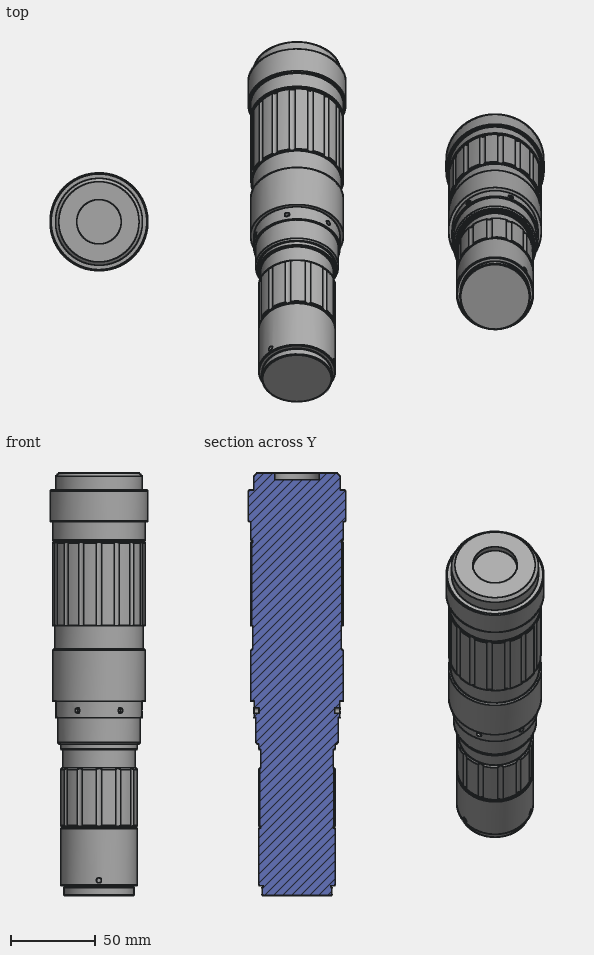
import cadquery as cq
import math

LENGTH = 250.0

CAP_DIA = 51.5
COLLAR_DIA = 58.0
BODY_DIA = 55.0
NECK_DIA = 52.5
SCREW_RING_DIA = 51.0
PLAIN_RING_DIA = 49.0
LOWER_DIA = 45.5
LOWER_NECK_DIA = 43.0
FOOT_DIA = 41.5
FOOT_RELIEF_DIA = 40.0

CAP_BOTTOM = LENGTH - 10.0
COLLAR_BOTTOM = LENGTH - 29.0
SLEEVE_BOTTOM = LENGTH - 40.0
GRIP_TOP = LENGTH - 41.0
GRIP_BOTTOM = LENGTH - 90.5
BODY_TOP = LENGTH - 104.0
BODY_BOTTOM = LENGTH - 135.0
SCREW_RING_BOTTOM = LENGTH - 144.7
PLAIN_RING_BOTTOM = LENGTH - 160.4
LIP_BOTTOM = LENGTH - 163.6
SMALL_GRIP_TOP = LENGTH - 174.5
SMALL_GRIP_BOTTOM = LENGTH - 209.0
LOWER_BODY_TOP = LENGTH - 210.0
LOWER_BODY_BOTTOM = LENGTH - 244.2
FOOT_TOP = LENGTH - 244.8

CAP_EDGE = 2.0
EDGE = 0.5
BODY_TOP_EDGE = 1.0
PLAIN_RING_EDGE = 1.0
COLLAR_EDGE = 0.7
SMALL_GRIP_TOP_EDGE = 1.0

BORE_DIA = 26.29
BORE_DEPTH = 4.0

FLUTE_DIA = 5.0
FLUTE_WIDTH = 3.4
GRIP_FLUTES = 16
SMALL_GRIP_FLUTES = 12

SCREW_DIA = 3.0
SCREW_DEPTH = 3.0
RING_SCREWS = 6
RING_SCREW_Z = LENGTH - 140.5
LOWER_SCREWS = 3
LOWER_SCREW_Z = 9.0
LOWER_SCREW_START = 30.0


def section(diameter, bottom, top, bottom_edge=0.0, top_edge=0.0):
    """Coaxial cylinder from bottom to top with optional 45 degree edge chamfers."""
    part = cq.Workplane("XY").workplane(offset=bottom).circle(diameter / 2).extrude(top - bottom)
    if bottom_edge:
        part = part.faces("<Z").chamfer(bottom_edge)
    if top_edge:
        part = part.faces(">Z").chamfer(top_edge)
    return part


def cap():
    """Top cap with a chamfered rim and a blind bore."""
    part = section(CAP_DIA, CAP_BOTTOM, LENGTH, top_edge=CAP_EDGE)
    return part.cut(section(BORE_DIA, LENGTH - BORE_DEPTH, LENGTH))


def fluted_grip(diameter, bottom, top, flutes, bottom_edge, top_edge):
    """Cylinder with round flutes running its full height, one of them on the +X axis."""
    grip = section(diameter, bottom, top, bottom_edge, top_edge)
    half_width = FLUTE_WIDTH / 2
    rim = math.sqrt((diameter / 2) ** 2 - half_width ** 2)
    flute_centre = rim + math.sqrt((FLUTE_DIA / 2) ** 2 - half_width ** 2)
    cutters = (
        cq.Workplane("XY")
        .workplane(offset=bottom)
        .polarArray(flute_centre, 0, 360, flutes)
        .circle(FLUTE_DIA / 2)
        .extrude(top - bottom)
    )
    return grip.cut(cutters)


def screw_holes(diameter, height, count, start_angle):
    """Cutters for blind radial holes spread evenly around a section."""
    inner = diameter / 2 - SCREW_DEPTH
    cutter = (
        cq.Workplane("YZ")
        .workplane(offset=inner)
        .center(0, height)
        .circle(SCREW_DIA / 2)
        .extrude(2 * SCREW_DEPTH)
    )
    holes = cq.Workplane("XY")
    for i in range(count):
        holes = holes.add(cutter.rotate((0, 0, 0), (0, 0, 1), start_angle + i * 360 / count))
    return holes.combine()


sections = [
    section(COLLAR_DIA, COLLAR_BOTTOM, CAP_BOTTOM, COLLAR_EDGE, COLLAR_EDGE),
    section(BODY_DIA, SLEEVE_BOTTOM, COLLAR_BOTTOM, EDGE),
    section(NECK_DIA, GRIP_TOP, SLEEVE_BOTTOM),
    fluted_grip(BODY_DIA, GRIP_BOTTOM, GRIP_TOP, GRIP_FLUTES, EDGE, EDGE),
    section(NECK_DIA, BODY_TOP, GRIP_BOTTOM),
    section(BODY_DIA, BODY_BOTTOM, BODY_TOP, top_edge=BODY_TOP_EDGE),
    section(SCREW_RING_DIA, SCREW_RING_BOTTOM, BODY_BOTTOM),
    section(PLAIN_RING_DIA, PLAIN_RING_BOTTOM, SCREW_RING_BOTTOM, PLAIN_RING_EDGE),
    section(LOWER_DIA, LIP_BOTTOM, PLAIN_RING_BOTTOM, EDGE),
    section(LOWER_NECK_DIA, SMALL_GRIP_TOP, LIP_BOTTOM),
    fluted_grip(LOWER_DIA, SMALL_GRIP_BOTTOM, SMALL_GRIP_TOP, SMALL_GRIP_FLUTES, EDGE, SMALL_GRIP_TOP_EDGE),
    section(LOWER_NECK_DIA, LOWER_BODY_TOP, SMALL_GRIP_BOTTOM),
    section(LOWER_DIA, LOWER_BODY_BOTTOM, LOWER_BODY_TOP, EDGE, EDGE),
    section(FOOT_RELIEF_DIA, FOOT_TOP, LOWER_BODY_BOTTOM),
    section(FOOT_DIA, 0, FOOT_TOP, EDGE, EDGE),
]

result = cap()
for part in sections:
    result = result.union(part)
result = result.cut(screw_holes(SCREW_RING_DIA, RING_SCREW_Z, RING_SCREWS, 0))
result = result.cut(screw_holes(LOWER_DIA, LOWER_SCREW_Z, LOWER_SCREWS, LOWER_SCREW_START))